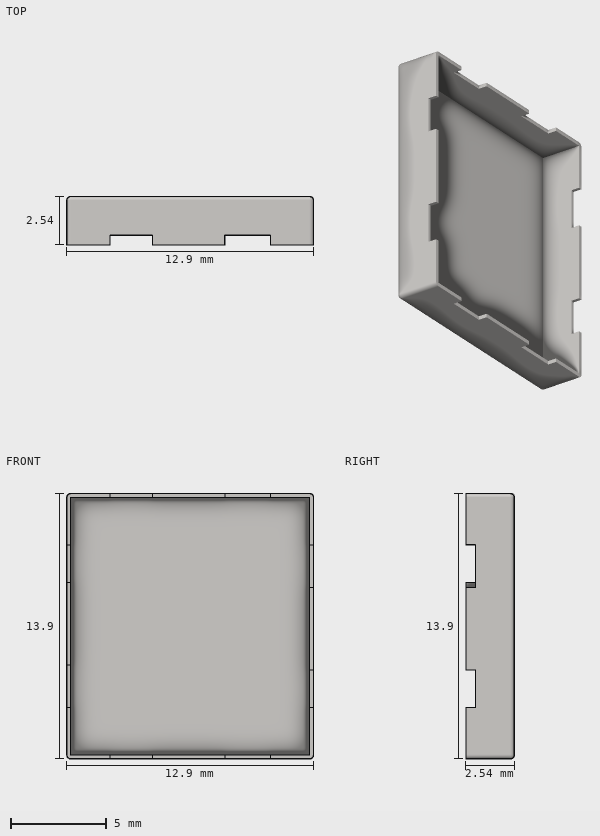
import cadquery as cq

width = 12.9
depth = 2.54
height = 13.87
wall = 0.21
edge_radius = 0.21

notch_depth = 0.5
notch_outer_x = 4.19
left_notch_inner_x = 1.97
right_notch_inner_x = 1.82
notch_outer_z = 4.25
narrow_notch_inner_z = 2.29
wide_notch_inner_z = 2.03

rim_y = -depth / 2
cut_thickness = 4 * wall


def box_between(x_range, y_range, z_range):
    """Box spanning the given (low, high) range along each axis."""
    ranges = (x_range, y_range, z_range)
    sizes = [high - low for low, high in ranges]
    center = tuple((low + high) / 2 for low, high in ranges)
    return cq.Workplane("XY").box(*sizes).translate(center)


def around(position):
    """Range of the cut thickness centered on a wall face."""
    return (position - cut_thickness / 2, position + cut_thickness / 2)


body = cq.Workplane("XY").box(width, depth, height)
body = body.edges("|Y or >Y").fillet(edge_radius)

cavity = box_between(
    (-width / 2 + wall, width / 2 - wall),
    (rim_y, depth / 2 - wall),
    (-height / 2 + wall, height / 2 - wall),
)
body = body.cut(cavity)

notch_y = (rim_y, rim_y + notch_depth)

for side in (-1, 1):
    wall_z = around(side * height / 2)
    for notch_x in (
        (-notch_outer_x, -left_notch_inner_x),
        (right_notch_inner_x, notch_outer_x),
    ):
        body = body.cut(box_between(notch_x, notch_y, wall_z))

side_notches = {
    -1: (
        (-notch_outer_z, -wide_notch_inner_z),
        (narrow_notch_inner_z, notch_outer_z),
    ),
    1: (
        (-notch_outer_z, -narrow_notch_inner_z),
        (wide_notch_inner_z, notch_outer_z),
    ),
}
for side, notches in side_notches.items():
    wall_x = around(side * width / 2)
    for notch_z in notches:
        body = body.cut(box_between(wall_x, notch_y, notch_z))

result = body